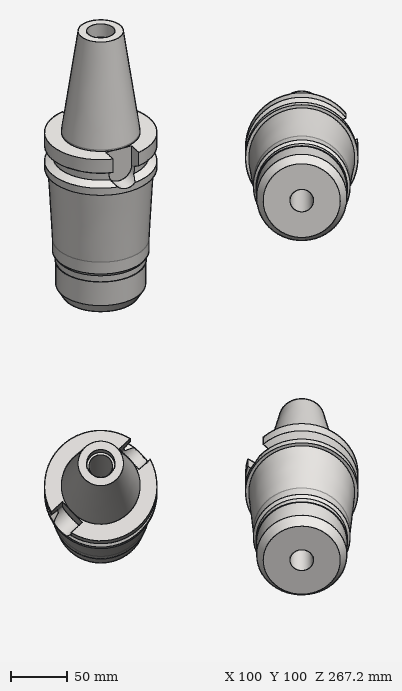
import cadquery as cq

total_length = 267.2
gauge_z = 165.5
flange_top_z = 164.0
upper_rim_bottom_z = 150.5
groove_top_z = 146.0
groove_bottom_z = 139.0
lower_rim_top_z = 135.0
flange_bottom_z = 127.7
body_taper_bottom_z = 55.5
body_bottom_z = 43.5
collar_top_z = 40.3
collar_bottom_z = 34.0
nose_chamfer_z = 9.5

shank_base_radius = 35.0
shank_taper = 7 / 24
shank_top_radius = shank_base_radius - (total_length - gauge_z) * shank_taper / 2
flange_radius = 50.0
groove_radius = 42.5
body_top_radius = 47.0
body_bottom_radius = 43.0
collar_radius = 40.5
nose_radius = 40.0
nose_tip_radius = 34.2

bore_radius = 10.5
counterbore_radius = 12.5
counterbore_depth = 13.4

slot_width = 25.7
slot_bottom_z = 131.7
slot_floor_distance = 34.7


def turned_holder():
    """Solid of revolution from the nose to the top of the shank."""
    outline = [
        (0, 0),
        (nose_tip_radius, 0),
        (nose_radius, nose_chamfer_z),
        (nose_radius, collar_bottom_z),
        (collar_radius, collar_bottom_z),
        (collar_radius, collar_top_z),
        (body_bottom_radius, body_bottom_z),
        (body_bottom_radius, body_taper_bottom_z),
        (body_top_radius, flange_bottom_z),
        (flange_radius, flange_bottom_z),
        (flange_radius, lower_rim_top_z),
        (groove_radius, groove_bottom_z),
        (groove_radius, groove_top_z),
        (flange_radius, upper_rim_bottom_z),
        (flange_radius, flange_top_z),
        (shank_base_radius, flange_top_z),
        (shank_base_radius, gauge_z),
        (shank_top_radius, total_length),
        (0, total_length),
    ]
    profile = cq.Workplane("XZ").polyline(outline).close()
    return profile.revolve(360, (0, 0, 0), (0, 1, 0))


def stepped_bore():
    """Through bore with its counterbore at the shank end."""
    bore = cq.Workplane("XY").circle(bore_radius).extrude(total_length)
    counterbore = (
        cq.Workplane("XY", origin=(0, 0, total_length - counterbore_depth))
        .circle(counterbore_radius)
        .extrude(counterbore_depth)
    )
    return bore.union(counterbore)


def drive_slot(side):
    """Round-bottomed slot, open at the flange top; side is -1 or +1."""
    half_width = slot_width / 2
    arc_center_z = slot_bottom_z + half_width
    return (
        cq.Workplane("YZ", origin=(side * slot_floor_distance, 0, 0))
        .moveTo(-half_width, flange_top_z)
        .lineTo(-half_width, arc_center_z)
        .threePointArc((0, slot_bottom_z), (half_width, arc_center_z))
        .lineTo(half_width, flange_top_z)
        .close()
        .extrude(side * flange_radius)
    )


result = turned_holder().cut(stepped_bore())
for side in (-1, 1):
    result = result.cut(drive_slot(side))